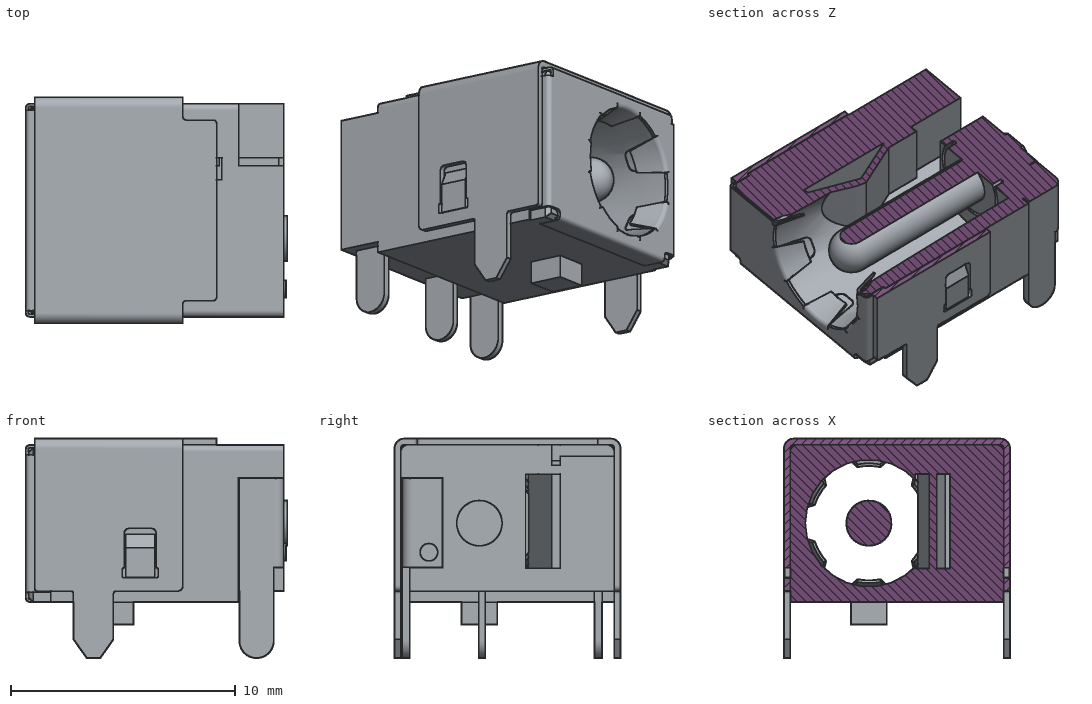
import cadquery as cq
import math


HOUSING_REAR = 11.5
HOUSING_HALF_WIDTH = 4.75
HOUSING_HEIGHT = 7.0
HOUSING_ROUND = 0.3
NOSE_CHAMFER = 0.2
REAR_STEP_X = 9.47
REAR_STEP_Z = 0.49

FACE_T = 0.13
FACE_DEPTH = 1.12
FACE_BEND = 0.2
WALL_T = 0.285
SLEEVE_FRONT = 0.4
SLEEVE_REAR = 7.0
SLEEVE_BOTTOM = 0.49
SLEEVE_ROUND = 0.45
SLEEVE_CORNER_ROUND = 0.24
TONGUE_REAR = 8.5
TONGUE_HALF_WIDTH = 4.02
TONGUE_ROUND = 0.15
FACE_TOP_NOTCH_Y = 4.465
FACE_TOP_NOTCH_Z = 6.55
FACE_BOTTOM_NOTCH_Y = 3.93
FACE_BOTTOM_NOTCH_Z = 0.45
FOOT_FRONT = 2.13
FOOT_REAR = 3.91
FOOT_TIP_WIDTH = 0.6
FOOT_TAPER_Z = -1.66
FOOT_ROUND = 0.12
PIN_BOTTOM = -2.495

LATCH_FRONT = 4.45
LATCH_REAR = 5.75
LATCH_BOTTOM = 1.11
LATCH_RAMP_BOTTOM = 2.42
LATCH_TOP = 3.01
LATCH_HEIGHT = 0.25
WINDOW_GAP = 0.06
WINDOW_BOTTOM = 1.08
WINDOW_TOP = 3.28
WINDOW_ROUND = 0.22
EAR_WIDTH = 0.09
EAR_TOP = 1.53
EAR_ROUND = 0.08

SOCKET_Y = -1.25
SOCKET_Z = 3.515
SOCKET_FRONT_R = 2.91
SOCKET_FLOOR_R = 2.77
SOCKET_FLOOR_X = 9.0
GROOVE_INNER_R = 1.76
GROOVE_OUTER_R = 1.91
GROOVE_DEPTH = 0.5
PIN_R = 1.01
PIN_BALL_X = 2.1
PIN_REAR = 11.65

FINGER_COUNT = 6
FINGER_ROOT_R = 3.09
FINGER_BEND_X = 0.2
FINGER_BEND_R = 2.87
FINGER_BEND_MID_X = 0.06
FINGER_BEND_MID_R = 2.935
FINGER_TIP_X = 1.36
FINGER_TIP_R = 2.54
FINGER_ROOT_HALF = 0.85
FINGER_TIP_HALF = 0.5
FINGER_POCKET_R = 3.13
FINGER_POCKET_X = 1.95
FINGER_POCKET_TIP_HALF = 0.42
FINGER_POCKET_ROUND = 0.3

POCKET_FRONT = 2.4
POCKET_Y0 = 0.82
POCKET_Y1 = 2.35
POCKET_Z0 = 1.5
POCKET_Z1 = 5.7
SPRING_KINK_X = 4.3
SPRING_KINK_Y = 1.03
SPRING_APEX_X = 4.8
SPRING_APEX_Y = 0.93
SPRING_TOE_Y = 1.77
SPRING_BASE_Y = 1.98
SPRING_BASE_X = 7.0
SPRING_REAR = 8.62
SPRING_T = POCKET_Y1 - SPRING_BASE_Y
TOP_SLOT_REAR = 8.73
TOP_SLOT_Y = 1.36

NOTCH_X = 9.48
NOTCH_Z = 6.5
NOTCH_GROOVE_Z = 6.3
NOTCH_HOLE_X = 11.27
NOTCH_HOLE_Z = 6.1

LEG_FRONT = 9.51
LEG_REAR = 11.05
LEG_TOP = 5.51
PLAIN_LEG_TOP = 1.0
LEG_T = 0.34
SIDE_LEG_Y = -4.69
FAR_LEG_Y = 3.87
CENTER_LEG_Y = -1.29
CENTER_LEG_T = 0.3
TERMINAL_REAR = 11.48
TERMINAL_BEND = TERMINAL_REAR - LEG_REAR
TERMINAL_BOTTOM = 1.55
TERMINAL_END_Y = -2.9
TERMINAL_GAP = 0.02
BUMP_Y = -3.5
BUMP_Z = 2.22
BUMP_R = 0.39
BUMP_REAR = 11.6

PEG_REAR = 4.81
PEG_WIDTH = 1.6
PEG_HEIGHT = 1.0


def box(x0, x1, y0, y1, z0, z1):
    return cq.Workplane("XY").box(x1 - x0, y1 - y0, z1 - z0, centered=False).translate((x0, y0, z0))


def disc(radius, x0, x1, y=SOCKET_Y, z=SOCKET_Z):
    """Cylinder along X."""
    return cq.Workplane("YZ", origin=(x0, y, z)).circle(radius).extrude(x1 - x0)


def side_plate(points, y0, y1):
    """Plate with a polygon outline in X and Z, between two Y positions."""
    return cq.Workplane("XZ", origin=(0, y0, 0)).polyline(points).close().extrude(y0 - y1)


def both_sides(part):
    return part.union(part.mirror("XZ"))


def turned(profile):
    """Turn a closed profile of axial and radial positions about the socket axis."""
    ring = profile.close().revolve(360, (0, 0, 0), (1, 0, 0))
    return ring.translate((0, SOCKET_Y, SOCKET_Z))


def finger_sectors(depth, root_half, tip_half, tip_round=0):
    """Tapering prisms at the six finger positions, with optional rounding of their tip corners."""
    reach = 2 * FINGER_ROOT_R
    prism = (
        cq.Workplane("XY")
        .polyline([(0, -root_half), (depth, -tip_half), (depth, tip_half), (0, root_half)])
        .close()
        .extrude(reach)
    )
    if tip_round:
        prism = prism.edges("|Z and >X").fillet(tip_round)
    sectors = cq.Workplane("XY")
    for i in range(FINGER_COUNT):
        angle = 360 / FINGER_COUNT * i
        sectors = sectors.add(prism.rotate((0, 0, 0), (1, 0, 0), angle).translate((0, SOCKET_Y, SOCKET_Z)))
    return sectors.vals()


def keep_sectors(ring, sectors):
    """The parts of a turned ring that lie in the given prisms."""
    return [ring.intersect(cq.Workplane(sector)) for sector in sectors]


def face_cap():
    """Front face with four short flanges, relieved at its corners."""
    w = HOUSING_HALF_WIDTH
    cap = box(0, FACE_DEPTH, -w, w, 0, HOUSING_HEIGHT).faces("<X").edges().fillet(FACE_BEND)
    inside = box(FACE_T, FACE_DEPTH, -w + FACE_T, w - FACE_T, FACE_T, HOUSING_HEIGHT - FACE_T)
    cap = cap.cut(inside.faces("<X").edges().fillet(FACE_BEND - FACE_T))
    top_notch = box(0, FACE_DEPTH, FACE_TOP_NOTCH_Y, w, FACE_TOP_NOTCH_Z, HOUSING_HEIGHT)
    bottom_notch = box(0, FACE_DEPTH, FACE_BOTTOM_NOTCH_Y, w, 0, FACE_BOTTOM_NOTCH_Z)
    bottom_notch = bottom_notch.edges("|X and <Y and >Z").fillet(FACE_BEND)
    cap = cap.cut(both_sides(top_notch)).cut(both_sides(bottom_notch))
    return cap.cut(disc(SOCKET_FRONT_R, 0, FACE_T))


def spring_fingers():
    """Fingers bent from the rim of the face opening into the socket."""
    slope = math.atan2(FINGER_BEND_R - FINGER_TIP_R, FINGER_TIP_X - FINGER_BEND_X)
    dx = FACE_T * math.sin(slope)
    dr = FACE_T * math.cos(slope)
    profile = (
        cq.Workplane("XY")
        .moveTo(0, FINGER_ROOT_R)
        .threePointArc((FINGER_BEND_MID_X, FINGER_BEND_MID_R), (FINGER_BEND_X, FINGER_BEND_R))
        .lineTo(FINGER_TIP_X, FINGER_TIP_R)
        .lineTo(FINGER_TIP_X + dx, FINGER_TIP_R + dr)
        .lineTo(FINGER_BEND_X + dx, FINGER_BEND_R + dr)
        .lineTo(FACE_T, FINGER_ROOT_R)
    )
    return keep_sectors(turned(profile), finger_sectors(FINGER_TIP_X + dx, FINGER_ROOT_HALF, FINGER_TIP_HALF))


def sleeve():
    """U-shaped wrap over the top and sides, with a tongue at the top rear."""
    w = HOUSING_HALF_WIDTH + WALL_T
    top = HOUSING_HEIGHT + WALL_T
    body = box(SLEEVE_FRONT, SLEEVE_REAR, -w, w, SLEEVE_BOTTOM, top)
    body = body.edges("|X and >Z").fillet(SLEEVE_ROUND)
    inside = box(SLEEVE_FRONT, SLEEVE_REAR, -HOUSING_HALF_WIDTH, HOUSING_HALF_WIDTH, 0, HOUSING_HEIGHT)
    body = body.cut(inside.edges("|X and >Z").fillet(SLEEVE_ROUND - WALL_T))
    body = body.edges("|Y and <Z and >X").fillet(SLEEVE_CORNER_ROUND)
    body = body.edges("|Y and <Z and <X").fillet(FOOT_ROUND)
    tongue = box(SLEEVE_REAR, TONGUE_REAR, -TONGUE_HALF_WIDTH, TONGUE_HALF_WIDTH, HOUSING_HEIGHT, top)
    body = body.union(tongue.edges("|Z and >X").fillet(TONGUE_ROUND))
    root = cq.selectors.BoxSelector(
        (SLEEVE_REAR - FACE_T, -w, HOUSING_HEIGHT - WALL_T), (SLEEVE_REAR + FACE_T, w, top + WALL_T)
    )
    return body.edges("|Z").edges(root).fillet(TONGUE_ROUND)


def shell_foot():
    """Pointed foot below one side wall, flared where it leaves the wall."""
    y0 = HOUSING_HALF_WIDTH
    mid = (FOOT_FRONT + FOOT_REAR) / 2
    tip = FOOT_TIP_WIDTH / 2
    points = [
        (FOOT_FRONT, SLEEVE_BOTTOM),
        (FOOT_FRONT, FOOT_TAPER_Z),
        (mid - tip, PIN_BOTTOM),
        (mid + tip, PIN_BOTTOM),
        (FOOT_REAR, FOOT_TAPER_Z),
        (FOOT_REAR, SLEEVE_BOTTOM),
    ]
    foot = side_plate(points, y0, y0 + WALL_T)
    for edge_x, outward in ((FOOT_FRONT, -1), (FOOT_REAR, 1)):
        far_x = edge_x + outward * FOOT_ROUND
        low_z = SLEEVE_BOTTOM - FOOT_ROUND
        flare = box(min(edge_x, far_x), max(edge_x, far_x), y0, y0 + WALL_T, low_z, SLEEVE_BOTTOM)
        scoop = cq.Workplane("XZ", origin=(far_x, y0, low_z)).circle(FOOT_ROUND).extrude(-WALL_T)
        foot = foot.union(flare.cut(scoop))
    return foot


def latch_window():
    """Opening in one side wall, with rounded ears at its lower corners."""
    y0 = HOUSING_HALF_WIDTH
    y1 = y0 + WALL_T
    x0 = LATCH_FRONT - WINDOW_GAP
    x1 = LATCH_REAR + WINDOW_GAP
    window = box(x0, x1, y0, y1, WINDOW_BOTTOM, WINDOW_TOP).edges("|Y and >Z").fillet(WINDOW_ROUND)
    ears = box(x0 - EAR_WIDTH, x1 + EAR_WIDTH, y0, y1, WINDOW_BOTTOM, EAR_TOP).edges("|Y").fillet(EAR_ROUND)
    return window.union(ears)


def make_shell():
    shell = face_cap()
    root_ring = disc(FINGER_ROOT_R, 0, FACE_T)
    for slot in keep_sectors(root_ring, finger_sectors(FINGER_TIP_X, FINGER_ROOT_HALF, FINGER_ROOT_HALF)):
        shell = shell.cut(slot)
    for finger in spring_fingers():
        shell = shell.union(finger)
    shell = shell.union(sleeve()).union(both_sides(shell_foot()))
    return shell.cut(both_sides(latch_window()))


def housing_block():
    """Main block with a reduced nose that fits inside the face cap."""
    w = HOUSING_HALF_WIDTH
    block = box(FACE_DEPTH, HOUSING_REAR, -w, w, 0, HOUSING_HEIGHT).edges("|X and >Z").fillet(HOUSING_ROUND)
    nose_w = w - FACE_T
    nose = box(FACE_T, FACE_DEPTH, -nose_w, nose_w, 0, HOUSING_HEIGHT - FACE_T)
    nose = nose.edges("|X and >Z").fillet(HOUSING_ROUND).faces("<X").chamfer(NOSE_CHAMFER)
    nose = nose.cut(box(FACE_T, FACE_DEPTH, -FACE_BOTTOM_NOTCH_Y, FACE_BOTTOM_NOTCH_Y, 0, FACE_T))
    return block.union(nose).cut(box(REAR_STEP_X, HOUSING_REAR, -w, w, 0, REAR_STEP_Z))


def latch():
    """Ramp on one side wall that snaps into the shell window."""
    y0 = HOUSING_HALF_WIDTH
    profile = [
        (y0, LATCH_BOTTOM),
        (y0 + LATCH_HEIGHT, LATCH_BOTTOM),
        (y0 + LATCH_HEIGHT, LATCH_RAMP_BOTTOM),
        (y0, LATCH_TOP),
    ]
    sketch = cq.Workplane("YZ", origin=(LATCH_FRONT, 0, 0)).polyline(profile).close()
    return sketch.extrude(LATCH_REAR - LATCH_FRONT)


def cut_socket(body):
    """Tapered bore with a groove in its floor and relief behind each finger."""
    bore = (
        cq.Workplane("XY")
        .moveTo(FACE_T, 0)
        .lineTo(FACE_T, SOCKET_FRONT_R)
        .lineTo(SOCKET_FLOOR_X, SOCKET_FLOOR_R)
        .lineTo(SOCKET_FLOOR_X, 0)
    )
    body = body.cut(turned(bore))
    groove_end = SOCKET_FLOOR_X + GROOVE_DEPTH
    groove = disc(GROOVE_OUTER_R, SOCKET_FLOOR_X, groove_end).cut(
        disc(GROOVE_INNER_R, SOCKET_FLOOR_X, groove_end)
    )
    body = body.cut(groove)
    relief = (
        cq.Workplane("XY")
        .moveTo(FACE_T, FINGER_TIP_R)
        .lineTo(FACE_T, FINGER_POCKET_R)
        .lineTo(FINGER_POCKET_X, SOCKET_FRONT_R)
        .lineTo(FINGER_POCKET_X, FINGER_TIP_R)
    )
    sectors = finger_sectors(FINGER_POCKET_X, FINGER_ROOT_HALF, FINGER_POCKET_TIP_HALF, FINGER_POCKET_ROUND)
    for pocket in keep_sectors(turned(relief), sectors):
        body = body.cut(pocket)
    return body


def center_pin():
    """Contact pin with a ball end, showing through at the rear."""
    ball = cq.Workplane("XY").sphere(PIN_R).rotate((0, 0, 0), (0, 1, 0), 90)
    ball = ball.translate((PIN_BALL_X, SOCKET_Y, SOCKET_Z))
    return disc(PIN_R, PIN_BALL_X, PIN_REAR).union(ball)


def cut_spring_pocket(body):
    """Pocket beside the bore, slanted at the front, open to the rear and slotted through the top."""
    outline = [
        (POCKET_FRONT, SPRING_TOE_Y),
        (SPRING_KINK_X, SPRING_KINK_Y),
        (SPRING_KINK_X, POCKET_Y0),
        (HOUSING_REAR, POCKET_Y0),
        (HOUSING_REAR, POCKET_Y1),
        (POCKET_FRONT, POCKET_Y1),
    ]
    pocket = cq.Workplane("XY", origin=(0, 0, POCKET_Z0)).polyline(outline).close()
    body = body.cut(pocket.extrude(POCKET_Z1 - POCKET_Z0))
    return body.cut(box(SLEEVE_REAR, TOP_SLOT_REAR, TOP_SLOT_Y, POCKET_Y1, POCKET_Z0, HOUSING_HEIGHT))


def side_spring():
    """V-shaped strip that leans into the bore and rests on the outer pocket wall."""
    points = [
        (POCKET_FRONT, SPRING_TOE_Y),
        (SPRING_KINK_X, SPRING_KINK_Y),
        (SPRING_APEX_X, SPRING_APEX_Y),
        (SPRING_BASE_X, SPRING_BASE_Y),
        (SPRING_REAR, SPRING_BASE_Y),
        (SPRING_REAR, POCKET_Y1),
        (SPRING_BASE_X, POCKET_Y1),
        (SPRING_APEX_X, SPRING_APEX_Y + SPRING_T),
        (POCKET_FRONT, SPRING_TOE_Y + SPRING_T),
    ]
    strip = cq.Workplane("XY", origin=(0, 0, POCKET_Z0)).polyline(points).close()
    return strip.extrude(POCKET_Z1 - POCKET_Z0)


def cut_top_notch(body):
    """Lowered rear corner with a groove along its inner edge."""
    w = HOUSING_HALF_WIDTH
    top = HOUSING_HEIGHT
    body = body.cut(box(NOTCH_X, HOUSING_REAR, POCKET_Y1, w, NOTCH_Z, top))
    body = body.cut(box(NOTCH_X, HOUSING_REAR, SPRING_BASE_Y, POCKET_Y1, NOTCH_GROOVE_Z, top))
    return body.cut(box(NOTCH_HOLE_X, HOUSING_REAR, SPRING_BASE_Y, POCKET_Y1, NOTCH_HOLE_Z, top))


def solder_leg(y0, thickness, top):
    """Flat leg with a full round end."""
    radius = (LEG_REAR - LEG_FRONT) / 2
    straight_bottom = PIN_BOTTOM + radius
    outline = (
        cq.Workplane("XZ", origin=(0, y0, 0))
        .moveTo(LEG_FRONT, top)
        .lineTo(LEG_FRONT, straight_bottom)
        .threePointArc((LEG_FRONT + radius, PIN_BOTTOM), (LEG_REAR, straight_bottom))
        .lineTo(LEG_REAR, top)
        .close()
    )
    return outline.extrude(-thickness)


def cut_terminal_recess(body):
    """Side and rear recesses that hold the bent terminal."""
    top = LEG_TOP + TERMINAL_GAP
    floor_y = SIDE_LEG_Y + LEG_T
    body = body.cut(box(REAR_STEP_X, HOUSING_REAR, -HOUSING_HALF_WIDTH, floor_y, 0, top))
    rear_floor = TERMINAL_REAR - LEG_T
    end_y = TERMINAL_END_Y + TERMINAL_GAP
    bottom = TERMINAL_BOTTOM - TERMINAL_GAP
    return body.cut(box(rear_floor, HOUSING_REAR, floor_y, end_y, bottom, top))


def bent_terminal():
    """Side leg whose upper part wraps around the corner onto the rear face."""
    inner_y = SIDE_LEG_Y + LEG_T
    inner_x = TERMINAL_REAR - LEG_T
    bend_y = SIDE_LEG_Y + TERMINAL_BEND
    mid_offset = TERMINAL_BEND * math.sin(math.radians(45))
    bend = (
        cq.Workplane("XY", origin=(0, 0, TERMINAL_BOTTOM))
        .moveTo(LEG_REAR, SIDE_LEG_Y)
        .threePointArc((LEG_REAR + mid_offset, bend_y - mid_offset), (TERMINAL_REAR, bend_y))
        .lineTo(TERMINAL_REAR, TERMINAL_END_Y)
        .lineTo(inner_x, TERMINAL_END_Y)
        .lineTo(inner_x, inner_y)
        .lineTo(LEG_REAR, inner_y)
        .close()
        .extrude(LEG_TOP - TERMINAL_BOTTOM)
    )
    bump = disc(BUMP_R, TERMINAL_REAR, BUMP_REAR, BUMP_Y, BUMP_Z)
    return solder_leg(SIDE_LEG_Y, LEG_T, LEG_TOP).union(bend).union(bump)


def locating_peg():
    half = PEG_WIDTH / 2
    return box(PEG_REAR - PEG_WIDTH, PEG_REAR, SOCKET_Y - half, SOCKET_Y + half, -PEG_HEIGHT, 0)


def make_housing():
    body = housing_block().union(both_sides(latch()))
    body = cut_socket(body)
    body = cut_spring_pocket(body).union(side_spring())
    body = cut_top_notch(body)
    body = cut_terminal_recess(body).union(bent_terminal())
    body = body.union(solder_leg(FAR_LEG_Y, LEG_T, PLAIN_LEG_TOP))
    body = body.union(solder_leg(CENTER_LEG_Y, CENTER_LEG_T, PLAIN_LEG_TOP))
    return body.union(center_pin()).union(locating_peg())


shell = make_shell()
housing = make_housing()
result = cq.Compound.makeCompound([shell.val(), housing.val()])